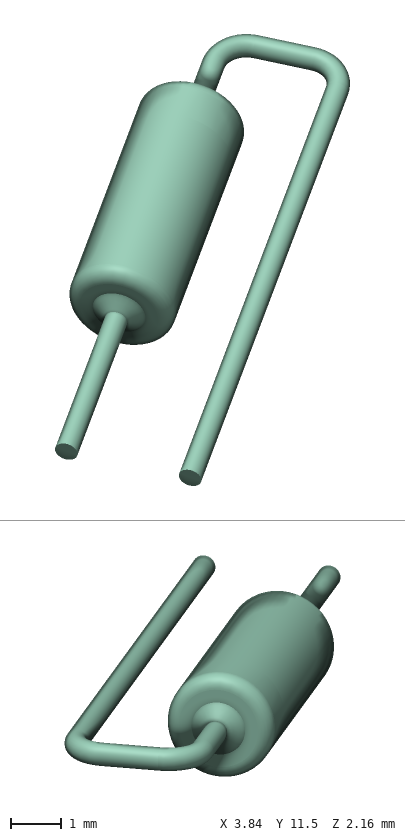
import cadquery as cq
import math


body_radius = 1.08
body_length = 5.44
body_fillet = 0.28
cone_base_radius = 0.54
cone_length = 0.21

band_setback = 0.31
band_width = 0.74
band_depth = 0.06

lead_radius = 0.23
lead_pitch = 2.53
bend_radius = 0.68
overall_length = 11.51
rear_reach = 2.26

rear_face = body_length / 2
cone_tip = rear_face + cone_length
band_rear = rear_face - band_setback
band_front = band_rear - band_width
lead_rear_outside = rear_face + rear_reach
lead_front_end = lead_rear_outside - overall_length
cross_run_y = lead_rear_outside - lead_radius
bend_start_y = cross_run_y - bend_radius


def cylinder_along_y(radius, y_start, y_end):
    """Solid cylinder on the Y axis between two Y positions."""
    plane = cq.Workplane("XZ", origin=(0, y_start, 0))
    return plane.circle(radius).extrude(y_start - y_end)


def make_band():
    """Ring whose outside is flush with the housing."""
    outer = cylinder_along_y(body_radius, band_front, band_rear)
    inner = cylinder_along_y(body_radius - band_depth, band_front, band_rear)
    return outer.cut(inner).solids()


def make_housing(band):
    """Rounded barrel with a cone at each end and a groove for the band."""
    flat_radius = body_radius - body_fillet
    fillet_start = rear_face - body_fillet
    arc_offset = body_fillet * math.sqrt(0.5)
    arc_mid_radius = flat_radius + arc_offset
    arc_mid_y = fillet_start + arc_offset
    barrel = (
        cq.Workplane("XY")
        .moveTo(0, -cone_tip)
        .lineTo(lead_radius, -cone_tip)
        .lineTo(cone_base_radius, -rear_face)
        .lineTo(flat_radius, -rear_face)
        .threePointArc((arc_mid_radius, -arc_mid_y), (body_radius, -fillet_start))
        .lineTo(body_radius, fillet_start)
        .threePointArc((arc_mid_radius, arc_mid_y), (flat_radius, rear_face))
        .lineTo(cone_base_radius, rear_face)
        .lineTo(lead_radius, cone_tip)
        .lineTo(0, cone_tip)
        .close()
        .revolve(360, (0, 0, 0), (0, 1, 0))
    )
    return barrel.cut(band).solids()


def make_straight_lead():
    """Lead running forward from the front cone."""
    return cylinder_along_y(lead_radius, lead_front_end, -cone_tip)


def make_bent_lead():
    """Lead leaving the rear cone, turned back to run forward beside the housing."""
    bend_offset = bend_radius * math.sqrt(0.5)
    bend_mid_y = bend_start_y + bend_offset
    first_bend_end = bend_radius
    second_bend_start = lead_pitch - bend_radius
    path = (
        cq.Workplane("XY")
        .moveTo(0, cone_tip)
        .lineTo(0, bend_start_y)
        .threePointArc((first_bend_end - bend_offset, bend_mid_y), (first_bend_end, cross_run_y))
        .lineTo(second_bend_start, cross_run_y)
        .threePointArc((second_bend_start + bend_offset, bend_mid_y), (lead_pitch, bend_start_y))
        .lineTo(lead_pitch, lead_front_end)
    )
    return cq.Workplane("XZ", origin=(0, cone_tip, 0)).circle(lead_radius).sweep(path)


band = make_band()
housing = make_housing(band)
straight_lead = make_straight_lead()
bent_lead = make_bent_lead()

result = cq.Compound.makeCompound([housing.val(), band.val(), straight_lead.val(), bent_lead.val()])